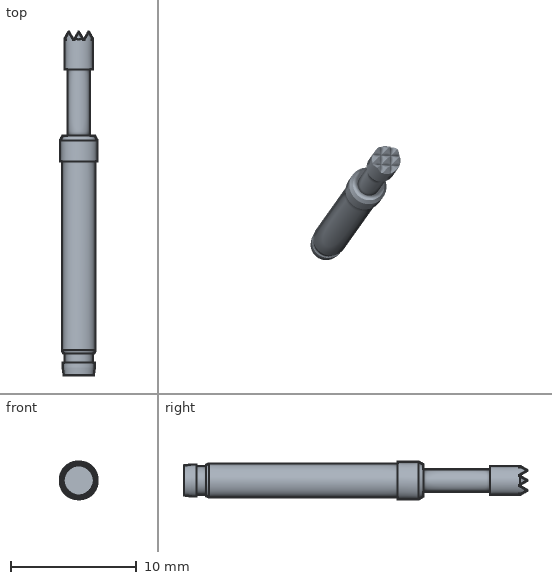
import cadquery as cq
import math


length = 27.3
rear_end = -length / 2
tip = length / 2
head_length = 3.0
collar_front_from_tip = 8.27
collar_length = 2.05
collar_bevel_length = 0.38
tail_length = 1.0
tail_taper_length = 0.6
neck_length = 0.75
tube_bevel_length = 0.25

head_radius = 1.15
plunger_radius = 0.9
collar_radius = 1.5
collar_bevel_angle = 30.0
tube_diameter = 2.7
tube_radius = tube_diameter / 2
tube_end_radius = 1.23
neck_radius = 1.15
tail_radius = 1.28
tail_end_radius = 1.2

tooth_pitch = 0.8
teeth_per_row = 3
flank_angle = 60.0

tail_front = rear_end + tail_length
tail_taper_start = rear_end + tail_taper_length
tube_rear = tail_front + neck_length
tube_bevel_start = tube_rear + tube_bevel_length
collar_front = tip - collar_front_from_tip
collar_rear = collar_front - collar_length
collar_bevel_start = collar_front - collar_bevel_length
collar_face_radius = collar_radius - collar_bevel_length * math.tan(math.radians(collar_bevel_angle))
head_rear = tip - head_length


def make_body():
    """Revolve the half profile of the whole probe, with a flat tip."""
    profile = (
        cq.Workplane("XY")
        .moveTo(0, rear_end)
        .lineTo(tail_end_radius, rear_end)
        .lineTo(tail_radius, tail_taper_start)
        .lineTo(tail_radius, tail_front)
        .lineTo(neck_radius, tail_front)
        .lineTo(neck_radius, tube_rear)
        .lineTo(tube_end_radius, tube_rear)
        .lineTo(tube_radius, tube_bevel_start)
        .lineTo(tube_radius, collar_rear)
        .lineTo(collar_radius, collar_rear)
        .lineTo(collar_radius, collar_bevel_start)
        .lineTo(collar_face_radius, collar_front)
        .lineTo(plunger_radius, collar_front)
        .lineTo(plunger_radius, head_rear)
        .lineTo(head_radius, head_rear)
        .lineTo(head_radius, tip)
        .lineTo(0, tip)
        .close()
    )
    return profile.revolve(360, (0, 0, 0), (0, 1, 0))


def make_crown_grooves():
    """V grooves running along Z, one on each side of every row of teeth."""
    depth = tooth_pitch / 2 * math.tan(math.radians(flank_angle))
    grooves = cq.Workplane("XY")
    for index in range(teeth_per_row + 1):
        centre = (index - teeth_per_row / 2) * tooth_pitch
        groove = (
            cq.Workplane("XY")
            .moveTo(centre - tooth_pitch / 2, tip)
            .lineTo(centre, tip - depth)
            .lineTo(centre + tooth_pitch / 2, tip)
            .close()
            .extrude(2 * head_radius, both=True)
        )
        grooves = grooves.add(groove)
    return grooves.combine()


body = make_body()
grooves = make_crown_grooves()
crossing_grooves = grooves.rotate((0, 0, 0), (0, 1, 0), 90)
result = body.cut(grooves).cut(crossing_grooves)